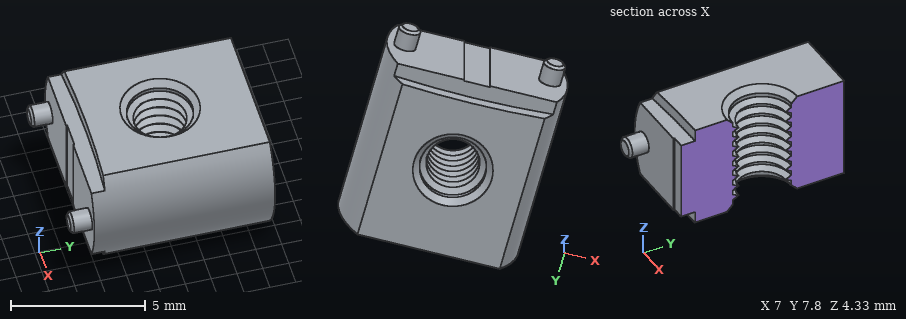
import cadquery as cq
import math

body_diameter = 7.0
body_length = 7.0
body_height = 4.33
front_y = -body_length / 2
half_height = body_height / 2

tongue_height = 3.34
shoulder_depth = 0.64
shoulder_radius = 40.015

groove_width = 1.0
groove_depth = 0.05

overall_length = 7.8
pin_length = overall_length - body_length
pin_diameter = 0.835
pin_spacing = 5.6
pin_chamfer = 0.1

crest_radius = 1.0
root_radius = 1.25
countersink_radius = 1.5
countersink_depth = countersink_radius - root_radius
thread_pitch = 0.45
flank_height = (root_radius - crest_radius) * math.tan(math.radians(30))
thread_length = body_height - 2 * countersink_depth
crest_count = math.floor(thread_length / thread_pitch)


def make_body():
    bar = cq.Workplane("XZ").circle(body_diameter / 2).extrude(body_length / 2, both=True)
    return bar.intersect(cq.Workplane().box(body_diameter, body_length, body_height))


def make_shoulder_cuts():
    wall_center_y = front_y + shoulder_depth - shoulder_radius
    wall = (
        cq.Workplane()
        .center(0, wall_center_y)
        .circle(shoulder_radius)
        .extrude(half_height, both=True)
    )
    tongue = cq.Workplane().box(body_diameter, 2 * body_length, tongue_height)
    return wall.cut(tongue)


def make_groove():
    return cq.Workplane().box(groove_width, 2 * groove_depth, body_height).translate((0, front_y, 0))


def make_pins():
    return (
        cq.Workplane("XZ", origin=(0, front_y, 0))
        .pushPoints([(-pin_spacing / 2, 0), (pin_spacing / 2, 0)])
        .circle(pin_diameter / 2)
        .extrude(pin_length)
        .faces("<Y")
        .chamfer(pin_chamfer)
    )


def make_threaded_hole():
    thread_top = half_height - countersink_depth
    profile = [(0, half_height), (countersink_radius, half_height), (root_radius, thread_top)]
    for crest in range(1, crest_count + 1):
        crest_z = thread_top - crest * thread_pitch + flank_height
        profile += [
            (root_radius, crest_z + flank_height),
            (crest_radius, crest_z),
            (root_radius, crest_z - flank_height),
        ]
    profile += [(root_radius, -thread_top), (countersink_radius, -half_height), (0, -half_height)]
    return cq.Workplane("XZ").polyline(profile).close().revolve(360, (0, 0), (0, 1))


result = (
    make_body()
    .cut(make_shoulder_cuts())
    .cut(make_groove())
    .union(make_pins())
    .cut(make_threaded_hole())
)